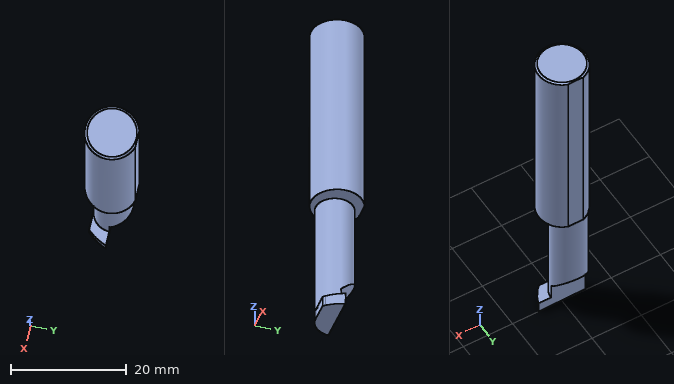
import cadquery as cq
import math

total_length = 63.5
shank_radius = 4.75
shank_bottom = 25.35
shank_flat_y = 4.5
chamfer_height = 0.2
chamfer_width = 0.45

neck_radius = 3.5
neck_x = neck_radius - shank_radius

relief_height = 5.3
relief_rise = neck_radius

head_height = 2.3
head_face_end_x = 2.6
head_corner = (3.0, -3.1)
head_flank_middle = (4.25, -1.2)
cutting_tip = (shank_radius, 0.0)

end_angle_x = 1.5
end_angle_y = 3.0


def make_shank():
    shank = (
        cq.Workplane("XY").workplane(offset=shank_bottom)
        .circle(shank_radius).extrude(total_length - shank_bottom)
        .faces(">Z").chamfer(chamfer_height, chamfer_width)
    )
    keep = cq.Workplane("XY").box(
        2 * shank_radius, shank_radius + shank_flat_y, total_length, centered=(True, False, False)
    )
    return shank.intersect(keep.translate((0, -shank_radius, 0)))


def make_neck():
    neck = cq.Workplane("XY").center(neck_x, 0).circle(neck_radius).extrude(shank_bottom)
    relief = (
        cq.Workplane("YZ")
        .polyline([
            (0, 0),
            (neck_radius, 0),
            (neck_radius, relief_height + relief_rise),
            (0, relief_height),
        ])
        .close()
        .extrude(shank_radius, both=True)
    )
    return neck.cut(relief)


def make_head():
    return (
        cq.Workplane("XY")
        .moveTo(neck_x, 0)
        .lineTo(neck_x, -neck_radius)
        .lineTo(head_face_end_x, -neck_radius)
        .lineTo(*head_corner)
        .threePointArc(head_flank_middle, cutting_tip)
        .close()
        .extrude(head_height)
    )


def make_end_clearance():
    slope_x = math.tan(math.radians(end_angle_x))
    slope_y = math.tan(math.radians(end_angle_y))
    end_plane = cq.Plane(origin=(*cutting_tip, 0), xDir=(1, 0, -slope_x), normal=(slope_x, slope_y, 1))
    waste_size = 4 * shank_radius
    return cq.Workplane(end_plane).rect(2 * waste_size, 2 * waste_size).extrude(-waste_size)


result = make_shank().union(make_neck()).union(make_head()).cut(make_end_clearance())